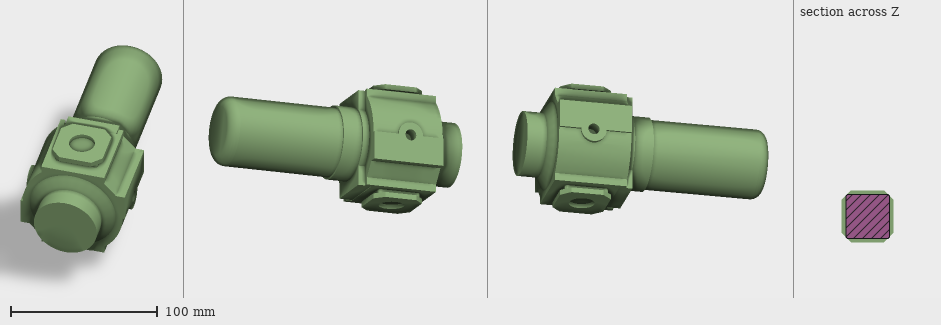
import cadquery as cq
import math


housing_width = 73.5
housing_height = 68.0
housing_front = -23.9
housing_length = 50.5
housing_back = housing_front + housing_length
rail_width = 44.5
shoulder_z = 28.8
pad_height = 19.5
pad_ledge = 6.1
bulge_x = 35.1

cone_diameter = 60.7
cone_length = 5.6
knob_diameter = 44.5
knob_length = 13.5

overall_height = 80.0
plate_size = 35.5
plate_chamfer = 6.5
plate_thickness = 3.5
port_depth = 3.0
neck_size = 30.2
neck_chamfer = 1.2
port_diameter = 17.6

boss_diameter = 17.8
gauge_hole_diameter = 7.8
gauge_hole_depth = 10.2

bar_width = 36.1
bar_height = 67.1
slot_width = 37.5
slot_depth = 4.7
collar_diameter = 54.0
collar_length = 4.5
ring_diameter = 50.9
ring_length = 13.4
tube_diameter = 47.8
tube_end_radius = 7.0
overall_length = 169.5
front_end = housing_front - cone_length - knob_length
collar_back = housing_back + collar_length
ring_back = collar_back + ring_length
tube_back = front_end + overall_length


def cylinder_along_y(diameter, y_start, y_end):
    """Round bar on the main axis between two Y positions."""
    radius = diameter / 2
    return cq.Workplane(cq.Solid.makeCylinder(
        radius, y_end - y_start, cq.Vector(0, y_start, 0), cq.Vector(0, 1, 0)))


def make_block():
    """Block outline, the same after half a turn about Y, extruded along Y."""
    side = housing_width / 2
    top = housing_height / 2
    rail = rail_width / 2
    ledge = side - pad_ledge
    bulge_radius = ((bulge_x - rail) ** 2 + shoulder_z ** 2) / (2 * (bulge_x - rail))
    bulge_center = bulge_x - bulge_radius
    half_angle = math.asin(shoulder_z / bulge_radius) / 2
    mid_x = bulge_center + bulge_radius * math.cos(half_angle)
    mid_z = bulge_radius * math.sin(half_angle)
    outline = (
        cq.Workplane("XZ", origin=(0, housing_back, 0))
        .moveTo(-rail, top)
        .lineTo(rail, top)
        .lineTo(rail, shoulder_z)
        .lineTo(ledge, pad_height)
        .lineTo(side, pad_height)
        .lineTo(side, 0)
        .lineTo(bulge_x, 0)
        .threePointArc((mid_x, -mid_z), (rail, -shoulder_z))
        .lineTo(rail, -top)
        .lineTo(-rail, -top)
        .lineTo(-rail, -shoulder_z)
        .lineTo(-ledge, -pad_height)
        .lineTo(-side, -pad_height)
        .lineTo(-side, 0)
        .lineTo(-bulge_x, 0)
        .threePointArc((-mid_x, mid_z), (-rail, shoulder_z))
        .close()
    )
    return outline.extrude(housing_length)


def make_knob():
    """Cone on the front of the block and the round knob before it."""
    cone_front = housing_front - cone_length
    cone = cq.Workplane(cq.Solid.makeCone(
        cone_diameter / 2, knob_diameter / 2, cone_length,
        cq.Vector(0, housing_front, 0), cq.Vector(0, -1, 0)))
    return cone.union(cylinder_along_y(knob_diameter, front_end, cone_front))


def chamfered_square(size, chamfer, z_bottom, thickness):
    """Square plate with cut corners, centred on Z."""
    return (
        cq.Workplane("XY", origin=(0, 0, z_bottom))
        .rect(size, size)
        .extrude(thickness)
        .edges("|Z")
        .chamfer(chamfer)
    )


def make_top_port():
    """Neck and plate on top of the block, with a shallow blind port in the plate."""
    block_top = housing_height / 2
    plate_bottom = overall_height / 2 - plate_thickness
    neck = chamfered_square(neck_size, neck_chamfer, block_top, plate_bottom - block_top)
    plate = chamfered_square(plate_size, plate_chamfer, plate_bottom, plate_thickness)
    port = (
        cq.Workplane("XY", origin=(0, 0, overall_height / 2 - port_depth))
        .circle(port_diameter / 2)
        .extrude(port_depth)
    )
    return neck.union(plate).cut(port)


def make_gauge_bar(diameter, inner_x):
    """Round bar along X, from inner_x to the right side of the housing."""
    bar = cq.Workplane("YZ", origin=(inner_x, 0, 0)).circle(diameter / 2)
    return bar.extrude(housing_width / 2 - inner_x)


def make_cross_bar(width, height):
    """Rectangular bar that plugs into the slot and reaches back to the collar's end."""
    y_start = housing_back - slot_depth
    return cq.Workplane("XY").box(
        width, collar_back - y_start, height, centered=(True, False, True)
    ).translate((0, y_start, 0))


def make_housing():
    """Block, knob, port plates and gauge bosses, with the slot for the bowl's bar."""
    body = make_block().union(make_knob())
    port = make_top_port()
    boss = make_gauge_bar(boss_diameter, rail_width / 2)
    gauge_hole = make_gauge_bar(gauge_hole_diameter, housing_width / 2 - gauge_hole_depth)
    for turn in (0, 180):
        body = body.union(port.rotate((0, 0, 0), (0, 1, 0), turn))
        body = body.union(boss.rotate((0, 0, 0), (0, 1, 0), turn))
        body = body.cut(gauge_hole.rotate((0, 0, 0), (0, 1, 0), turn))
    return body.cut(make_cross_bar(slot_width, housing_height))


def make_bowl():
    """Cross bar, collar, ring and tube with a rounded end."""
    tube = cylinder_along_y(tube_diameter, ring_back, tube_back).faces(">Y").edges().fillet(tube_end_radius)
    return (
        make_cross_bar(bar_width, bar_height)
        .union(cylinder_along_y(collar_diameter, housing_back, collar_back))
        .union(cylinder_along_y(ring_diameter, collar_back, ring_back))
        .union(tube)
    )


housing = make_housing().solids()
bowl = make_bowl().solids()

result = cq.Compound.makeCompound([housing.val(), bowl.val()])